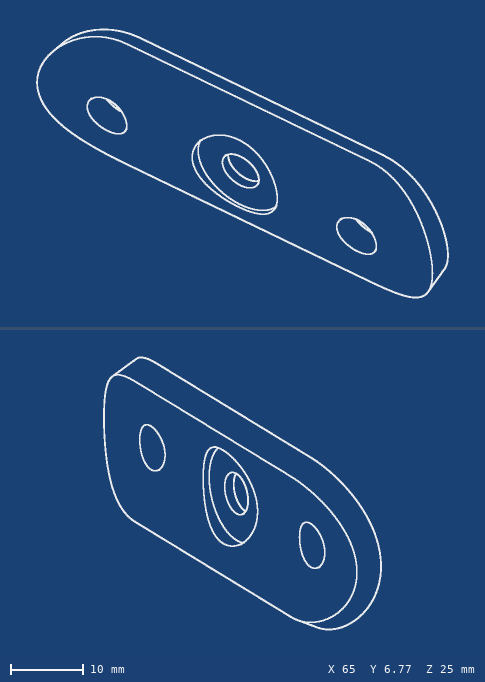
import cadquery as cq
import math

length = 65.0
outer_radius = 25.0
thickness = 3.95
half_angle = math.radians(30)

plate_height = 2 * outer_radius * math.sin(half_angle)

side_hole_diameter = 6.5
left_hole_x = -21.0
right_hole_x = 20.0
center_hole_diameter = 6.0
counterbore_diameter = 14.0
counterbore_depth = 1.5
center_web = 1.5


def curved_plate():
    """Trim the convex face to the rounded outline, then thicken it towards the axis.

    Thickening along the surface normals makes every edge wall radial.
    """
    cylinder = cq.Workplane("YZ").circle(outer_radius).extrude(length, both=True)
    trimmed = (
        cq.Workplane("XZ")
        .slot2D(length, plate_height)
        .extrude(outer_radius)
        .intersect(cylinder)
    )
    convex_face = trimmed.faces("<Y").val()
    return cq.Workplane(convex_face.thicken(-thickness))


def cylinder_along_y(diameter, x, depth, start=0):
    """Cylinder running +Y, starting this far behind the crest of the convex face."""
    return (
        cq.Workplane("XZ", origin=(x, start - outer_radius, 0))
        .circle(diameter / 2)
        .extrude(-depth)
    )


result = curved_plate()
for hole_x in (left_hole_x, right_hole_x):
    result = result.cut(cylinder_along_y(side_hole_diameter, hole_x, outer_radius))
result = result.cut(cylinder_along_y(center_hole_diameter, 0, outer_radius))
result = result.cut(cylinder_along_y(counterbore_diameter, 0, counterbore_depth))

back_start = counterbore_depth + center_web
result = result.cut(cylinder_along_y(counterbore_diameter, 0, outer_radius, back_start))